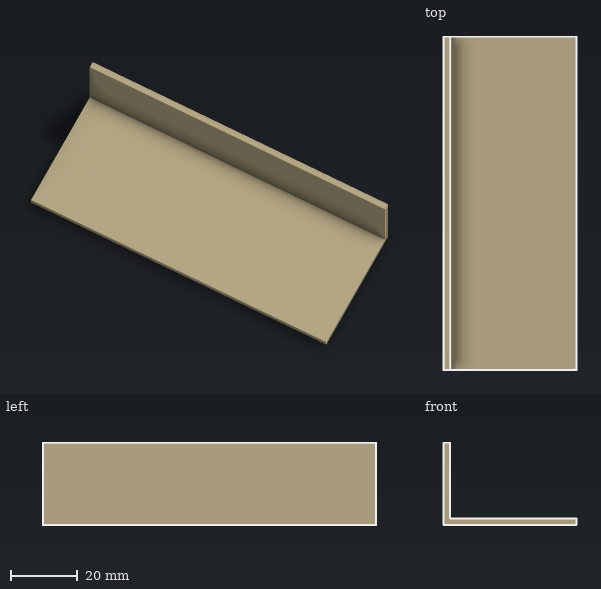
import cadquery as cq

length = 100.0
base_width = 39.9
wall_height = 24.7
thickness = 2.0
edge_radius = 0.2

profile = [
    (0, 0),
    (base_width, 0),
    (base_width, thickness),
    (thickness, thickness),
    (thickness, wall_height),
    (0, wall_height),
]

angle = cq.Workplane("XZ").polyline(profile).close().extrude(-length)

result = angle.edges("|Y").fillet(edge_radius)